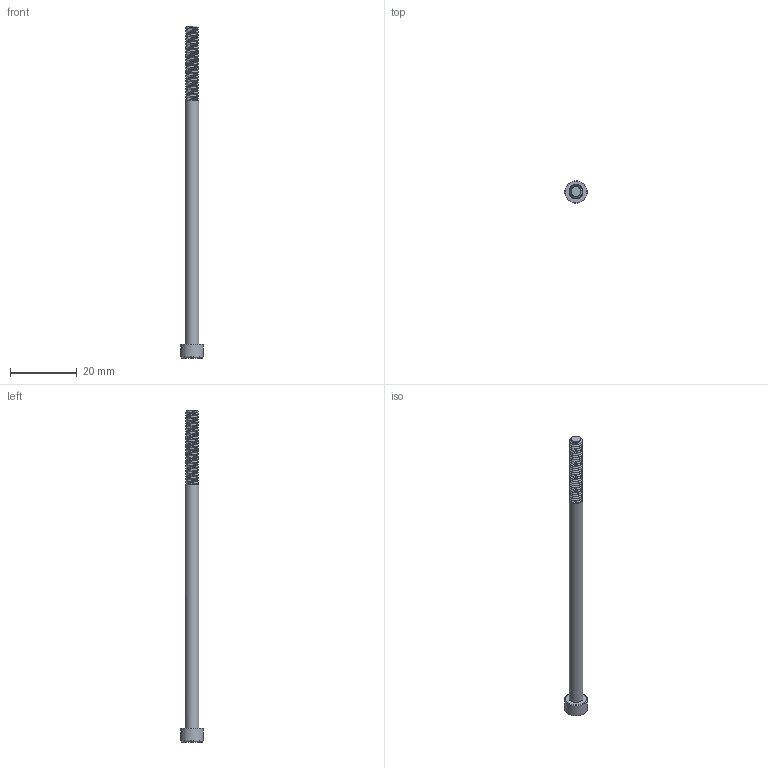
import cadquery as cq
import math

INCH = 25.4
SHANK_DIAMETER = 0.164 * INCH
SHANK_LENGTH = 3.75 * INCH
HEAD_DIAMETER = 0.270 * INCH
HEAD_HEIGHT = SHANK_DIAMETER
HEAD_CHAMFER = 0.4
TIP_CHAMFER = 0.6
BEARING_EDGE_CHAMFER = 0.2

THREADS_PER_INCH = 32
THREAD_LENGTH = 0.875 * INCH
FLANK_ANGLE = math.radians(30)
DEPTH_PER_PITCH = 0.6134
ROOT_FLAT_PER_PITCH = 1 / 8
CUTTER_OVERSHOOT = 0.08
THREAD_START_ANGLE = 300

shank_radius = SHANK_DIAMETER / 2
pitch = INCH / THREADS_PER_INCH
thread_depth = DEPTH_PER_PITCH * pitch
root_radius = shank_radius - thread_depth
thread_start = SHANK_LENGTH - THREAD_LENGTH


def make_head():
    """Cylinder below Z = 0, chamfered at its outer end and lightly at the bearing face."""
    head = cq.Workplane("XY").circle(HEAD_DIAMETER / 2).extrude(-HEAD_HEIGHT)
    head = head.faces("<Z").edges().chamfer(HEAD_CHAMFER)
    return head.faces(">Z").edges().chamfer(BEARING_EDGE_CHAMFER)


def make_plain_shank():
    """Unthreaded part of the shank."""
    return cq.Workplane("XY").circle(shank_radius).extrude(thread_start)


def make_thread_groove():
    """Right-hand helical V groove that starts below the threaded length and runs out through the tip."""
    mouth_radius = shank_radius + CUTTER_OVERSHOOT
    root_half = ROOT_FLAT_PER_PITCH * pitch / 2
    mouth_half = root_half + (mouth_radius - root_radius) * math.tan(FLANK_ANGLE)
    groove_length = THREAD_LENGTH + 2 * pitch
    corners = [
        (root_radius, -root_half),
        (mouth_radius, -mouth_half),
        (mouth_radius, mouth_half),
        (root_radius, root_half),
    ]
    helices = [
        cq.Wire.makeHelix(pitch, groove_length, radius).translate(cq.Vector(0, 0, offset))
        for radius, offset in corners
    ]
    next_helices = helices[1:] + helices[:1]
    faces = [cq.Face.makeRuledSurface(*pair) for pair in zip(helices, next_helices)]
    for end in (0, 1):
        end_points = [helix.positionAt(end) for helix in helices]
        faces.append(cq.Face.makeFromWires(cq.Wire.makePolygon(end_points, close=True)))
    groove = cq.Solid.makeSolid(cq.Shell.makeShell(faces)).fix()
    return cq.Workplane(groove).translate((0, 0, thread_start - pitch))


def make_threaded_end():
    """Chamfered threaded length, turned so that the groove starts at the right angle."""
    rod = cq.Workplane("XY").circle(shank_radius).extrude(SHANK_LENGTH)
    rod = rod.faces(">Z").edges().chamfer(TIP_CHAMFER)
    rod = rod.cut(make_thread_groove())
    threaded_zone = cq.Workplane("XY").workplane(offset=thread_start)
    threaded_zone = threaded_zone.circle(SHANK_DIAMETER).extrude(THREAD_LENGTH)
    threaded = rod.intersect(threaded_zone)
    return threaded.rotate((0, 0, 0), (0, 0, 1), THREAD_START_ANGLE)


result = make_head().union(make_plain_shank()).union(make_threaded_end())